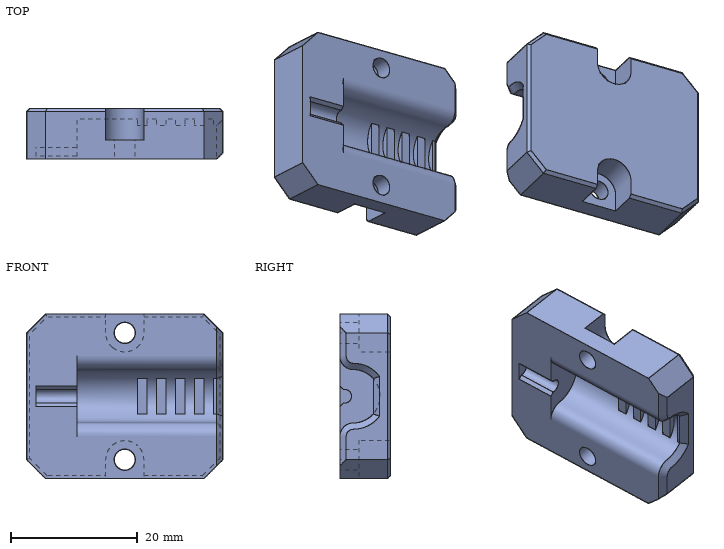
import cadquery as cq
import math

LENGTH = 31.0
DEPTH = 8.0
HEIGHT = 26.0
CORNER_CHAMFER = 3.0
BACK_CHAMFER = 0.5
END_CHAMFER = 1.0
FRONT_Y = -DEPTH / 2
BACK_Y = DEPTH / 2
END_X = LENGTH / 2

HOLE_DIAMETER = 3.3
HOLE_OFFSET = 10.0
POCKET_WIDTH = 6.0
POCKET_DEPTH = 5.0

CHANNEL_START = -7.5
CHANNEL_RADIUS = 4.22
LIP_RADIUS = 2.1
MOUTH_Z = CHANNEL_RADIUS + LIP_RADIUS

RIB_COUNT = 5
RIB_START = 2.0
RIB_PITCH = 3.0
RIB_WIDTH = 1.5
RIB_TOP_DEPTH = 5.27

GROOVE_START = -14.0
GROOVE_RADIUS = 1.1
GROOVE_CHAMFER = 0.53
GROOVE_WALL = 0.22


def make_block():
    """Octagonal plate with a chamfered back rim and a chamfered front edge at the +X end."""
    block = cq.Workplane("XY").box(LENGTH, DEPTH, HEIGHT)
    block = block.edges("|Y").chamfer(CORNER_CHAMFER)
    block = block.faces(">Y").edges().chamfer(BACK_CHAMFER)
    edge_wedge = (
        cq.Workplane("XY", origin=(END_X, FRONT_Y, 0))
        .polyline([(-END_CHAMFER, 0), (0, 0), (0, END_CHAMFER)])
        .close()
        .extrude(HEIGHT / 2, both=True)
    )
    return block.cut(edge_wedge)


def channel_outline(x, growth=0.0, ribbed=False):
    """Closed main channel section at x, offset outward by growth.

    Depth is measured from the open face. A ribbed section has a flat floor at the rib top.
    """
    radius = CHANNEL_RADIUS + growth
    axis_depth = LIP_RADIUS
    lip_middle = (LIP_RADIUS - growth) * math.sin(math.pi / 4)
    lip_middle_depth = axis_depth - lip_middle
    lip_middle_z = MOUTH_Z - lip_middle

    outline = (
        cq.Workplane("YZ", origin=(x, FRONT_Y, 0))
        .moveTo(growth, -MOUTH_Z)
        .threePointArc((lip_middle_depth, -lip_middle_z), (axis_depth, -radius))
    )
    if ribbed:
        floor_depth = RIB_TOP_DEPTH + growth
        floor_angle = math.asin((floor_depth - axis_depth) / radius)
        floor_z = radius * math.cos(floor_angle)
        side_z = radius * math.cos(floor_angle / 2)
        side_depth = axis_depth + radius * math.sin(floor_angle / 2)
        outline = (
            outline.threePointArc((side_depth, -side_z), (floor_depth, -floor_z))
            .lineTo(floor_depth, floor_z)
            .threePointArc((side_depth, side_z), (axis_depth, radius))
        )
    else:
        outline = outline.threePointArc((axis_depth + radius, 0), (axis_depth, radius))
    return outline.threePointArc((lip_middle_depth, lip_middle_z), (growth, MOUTH_Z)).close()


def make_channel():
    """Main channel with the ribs left out of it and a 45 degree flare at the +X end."""
    channel = channel_outline(CHANNEL_START).extrude(END_X - END_CHAMFER - CHANNEL_START)
    for index in range(RIB_COUNT):
        rib = (
            cq.Workplane("XY")
            .box(RIB_WIDTH, CHANNEL_RADIUS, 2 * CHANNEL_RADIUS, centered=(False, False, True))
            .translate((RIB_START + index * RIB_PITCH, FRONT_Y + RIB_TOP_DEPTH, 0))
        )
        channel = channel.cut(rib)
    narrow_end = channel_outline(END_X - END_CHAMFER, ribbed=True).val()
    wide_end = channel_outline(END_X, END_CHAMFER, ribbed=True).val()
    flare = cq.Solid.makeLoft([narrow_end, wide_end], True)
    return channel.union(cq.Workplane(flare))


def make_groove():
    """Round-bottomed groove with short straight walls and chamfered edges."""
    mouth_z = GROOVE_RADIUS + GROOVE_CHAMFER
    axis_depth = GROOVE_CHAMFER + GROOVE_WALL
    return (
        cq.Workplane("YZ", origin=(GROOVE_START, FRONT_Y, 0))
        .moveTo(0, -mouth_z)
        .lineTo(GROOVE_CHAMFER, -GROOVE_RADIUS)
        .lineTo(axis_depth, -GROOVE_RADIUS)
        .threePointArc((axis_depth + GROOVE_RADIUS, 0), (axis_depth, GROOVE_RADIUS))
        .lineTo(GROOVE_CHAMFER, GROOVE_RADIUS)
        .lineTo(0, mouth_z)
        .close()
        .extrude(CHANNEL_START - GROOVE_START)
    )


def make_screw_hole(side):
    """Through hole with a round-ended back pocket open at the top (side 1) or bottom (side -1)."""
    hole_z = side * HOLE_OFFSET
    outer_z = side * HEIGHT / 2
    half_width = POCKET_WIDTH / 2
    back = cq.Workplane("XZ", origin=(0, BACK_Y, 0))
    hole = back.center(0, hole_z).circle(HOLE_DIAMETER / 2).extrude(DEPTH)
    pocket = (
        back.moveTo(-half_width, outer_z)
        .lineTo(-half_width, hole_z)
        .threePointArc((0, hole_z - side * half_width), (half_width, hole_z))
        .lineTo(half_width, outer_z)
        .close()
        .extrude(POCKET_DEPTH)
    )
    return hole.union(pocket)


result = make_block().cut(make_channel()).cut(make_groove())
for side in (1, -1):
    result = result.cut(make_screw_hole(side))